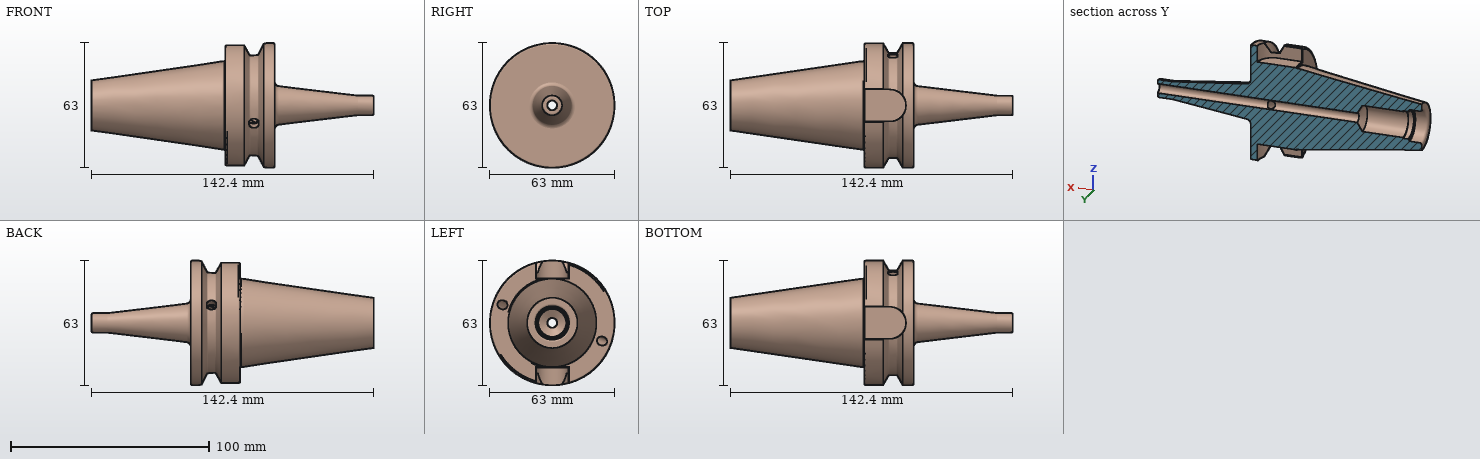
import cadquery as cq
import math

gauge_diameter = 44.45
taper_length = 65.4
taper_ratio = 7 / 24
shank_end_x = -taper_length
taper_overrun = 0.4
shank_end_radius = (gauge_diameter - taper_length * taper_ratio) / 2
shoulder_radius = (gauge_diameter + taper_overrun * taper_ratio) / 2

flange_radius = 31.5
flange_start_x = 2.0
flange_end_x = 27.0
flange_edge_radius = 1.0
flange_root_fillet = 0.5

groove_center_x = 16.5
groove_floor_width = 4.2
groove_floor_radius = 26.5
groove_half_angle = 30.0
groove_corner_fillet = 0.6
groove_flare = (flange_radius - groove_floor_radius) * math.tan(math.radians(groove_half_angle))
groove_floor_start_x = groove_center_x - groove_floor_width / 2
groove_floor_end_x = groove_center_x + groove_floor_width / 2
groove_start_x = groove_floor_start_x - groove_flare
groove_end_x = groove_floor_end_x + groove_flare

nose_end_x = 77.0
nose_base_x = 29.4
nose_base_radius = 9.75
nose_root_radius = 11.6
nose_tip_start_x = 68.9
nose_tip_radius = 5.0
tip_fillet = 1.0

slot_width = 16.1
slot_floor_height = 22.6
slot_end_x = 23.1
slot_edge_chamfer = 0.4
slot_rim_chamfer_height = 0.8

pilot_radius = 8.5
pilot_mouth_fillet = 1.2
pilot_depth = 6.6
thread_chamfer_radius = 8.0
thread_radius = 7.4
thread_depth = 10.0
drill_radius = 7.0
drill_depth = 32.0
drill_point_half_angle = 59.0
through_radius = 2.4

coolant_clock_angle = 20.0
coolant_diameter = 4.5
coolant_entry_radius = 26.7
coolant_incline = 30.0
plug_diameter = 5.0
plug_depth = 6.5
feed_diameter = 4.2


def make_body():
    """Revolve the shank, flange, groove and nose about the X axis."""
    outline = (
        cq.Workplane("XY")
        .moveTo(shank_end_x, 0)
        .lineTo(shank_end_x, shank_end_radius)
        .lineTo(taper_overrun, shoulder_radius)
        .lineTo(flange_start_x - flange_root_fillet, shoulder_radius)
        .radiusArc((flange_start_x, shoulder_radius + flange_root_fillet), -flange_root_fillet)
        .lineTo(flange_start_x, flange_radius - flange_edge_radius)
        .radiusArc((flange_start_x + flange_edge_radius, flange_radius), flange_edge_radius)
        .lineTo(groove_start_x, flange_radius)
        .lineTo(groove_floor_start_x, groove_floor_radius)
        .lineTo(groove_floor_end_x, groove_floor_radius)
        .lineTo(groove_end_x, flange_radius)
        .lineTo(flange_end_x - flange_edge_radius, flange_radius)
        .radiusArc((flange_end_x, flange_radius - flange_edge_radius), flange_edge_radius)
        .lineTo(flange_end_x, nose_root_radius)
        .radiusArc((nose_base_x, nose_base_radius), -(nose_base_x - flange_end_x))
        .lineTo(nose_tip_start_x, nose_tip_radius)
        .lineTo(nose_end_x - tip_fillet, nose_tip_radius)
        .radiusArc((nose_end_x, nose_tip_radius - tip_fillet), tip_fillet)
        .lineTo(nose_end_x, 0)
        .close()
    )
    body = outline.revolve(360, (0, 0, 0), (1, 0, 0))
    groove_corners = cq.selectors.BoxSelector(
        (groove_floor_start_x - groove_corner_fillet, -flange_radius, -flange_radius),
        (groove_floor_end_x + groove_corner_fillet, flange_radius, flange_radius),
    )
    return body.edges(groove_corners).fillet(groove_corner_fillet)


def make_bore():
    """Stepped bore from the shank end, with a drill point leading to the through hole."""
    pilot_end_x = shank_end_x + pilot_depth
    thread_end_x = shank_end_x + thread_depth
    drill_end_x = shank_end_x + drill_depth
    point_length = (drill_radius - through_radius) / math.tan(math.radians(drill_point_half_angle))
    outline = (
        cq.Workplane("XY")
        .moveTo(shank_end_x, 0)
        .lineTo(shank_end_x, pilot_radius + pilot_mouth_fillet)
        .radiusArc((shank_end_x + pilot_mouth_fillet, pilot_radius), -pilot_mouth_fillet)
        .lineTo(pilot_end_x, pilot_radius)
        .lineTo(pilot_end_x, thread_chamfer_radius)
        .lineTo(pilot_end_x + thread_chamfer_radius - thread_radius, thread_radius)
        .lineTo(thread_end_x, thread_radius)
        .lineTo(thread_end_x, drill_radius)
        .lineTo(drill_end_x, drill_radius)
        .lineTo(drill_end_x + point_length, through_radius)
        .lineTo(nose_end_x, through_radius)
        .lineTo(nose_end_x, 0)
        .close()
    )
    return outline.revolve(360, (0, 0, 0), (1, 0, 0))


def make_drive_slot():
    """Round-ended slot running in from the shank side of the flange, on +Z."""
    half_width = slot_width / 2
    round_start_x = slot_end_x - half_width
    return (
        cq.Workplane("XY", origin=(0, 0, slot_floor_height))
        .moveTo(0, -half_width)
        .lineTo(round_start_x, -half_width)
        .threePointArc((slot_end_x, 0), (round_start_x, half_width))
        .lineTo(0, half_width)
        .close()
        .extrude(flange_radius)
    )


def make_slot_edge_chamfer():
    """Chamfer of the slot edges on the flange face and along the flange rim, on +Z."""
    half_width = slot_width / 2
    chamfer = slot_edge_chamfer
    face_wedge = (
        cq.Workplane("YZ", origin=(flange_start_x, 0, flange_radius))
        .rect(slot_width + 2 * chamfer, 2 * (flange_radius - slot_floor_height + chamfer))
        .workplane(offset=chamfer)
        .rect(slot_width, 2 * (flange_radius - slot_floor_height))
        .loft()
    )
    rim_edge_height = math.sqrt(flange_radius**2 - half_width**2)
    rim_wedge = (
        cq.Workplane("YZ", origin=(flange_start_x, 0, rim_edge_height))
        .moveTo(-half_width, -slot_rim_chamfer_height)
        .lineTo(half_width, -slot_rim_chamfer_height)
        .lineTo(half_width + 2 * chamfer, slot_rim_chamfer_height)
        .lineTo(-half_width - 2 * chamfer, slot_rim_chamfer_height)
        .close()
        .extrude(groove_center_x - flange_start_x)
    )
    return face_wedge.union(rim_wedge)


def make_coolant_hole():
    """Inclined hole from the flange face, meeting a radial hole from the groove floor to the bore."""
    incline = math.radians(coolant_incline)
    inward = cq.Vector(math.cos(incline), -math.sin(incline), 0)
    outward = cq.Vector(0, 1, 0)
    entry = cq.Vector(flange_start_x, coolant_entry_radius, 0)
    lead_out = coolant_diameter
    run = (groove_center_x - flange_start_x) / math.cos(incline)
    inclined = cq.Solid.makeCylinder(coolant_diameter / 2, lead_out + run, entry - inward * lead_out, inward)

    plug_floor = groove_floor_radius - plug_depth
    plug_start = cq.Vector(groove_center_x, plug_floor, 0)
    plug_seat = cq.Solid.makeCylinder(plug_diameter / 2, flange_radius - plug_floor, plug_start, outward)
    feed_start = cq.Vector(groove_center_x, 0, 0)
    feed = cq.Solid.makeCylinder(feed_diameter / 2, groove_floor_radius, feed_start, outward)
    return cq.Workplane(plug_seat).union(cq.Workplane(feed)).union(cq.Workplane(inclined))


result = make_body().cut(make_bore())
for half_turn in (0, 180):
    clock_angle = coolant_clock_angle + half_turn
    result = result.cut(make_drive_slot().rotate((0, 0, 0), (1, 0, 0), half_turn))
    result = result.cut(make_slot_edge_chamfer().rotate((0, 0, 0), (1, 0, 0), half_turn))
    result = result.cut(make_coolant_hole().rotate((0, 0, 0), (1, 0, 0), clock_angle))